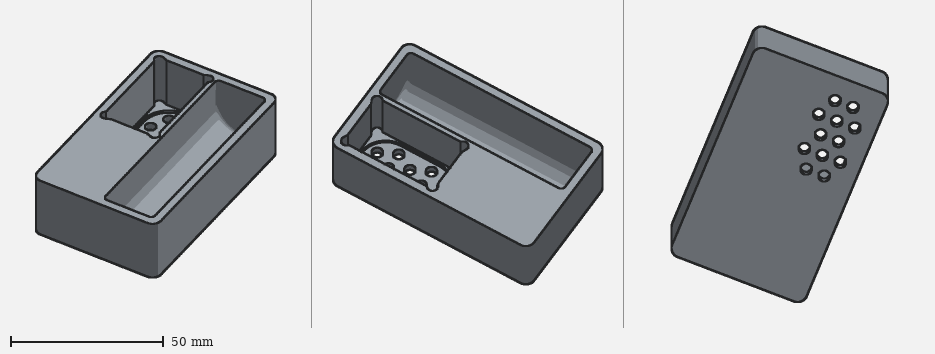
import cadquery as cq
import math

width = 47.5
length = 77.3
height = 23.0
corner_radius = 3.25
wall = 3.0

trough_width = 19.0
trough_radius = trough_width / 2
trough_length = length - 2 * wall
trough_fillet = 1.55
trough_x = width / 2 - wall - trough_radius
trough_axis_z = wall + trough_radius

pocket_width = 20.6
pocket_length = 35.1
pocket_back_wall = 3.3
pocket_floor_z = 4.0
pocket_x = -width / 2 + wall + pocket_width / 2
pocket_y = length / 2 - pocket_back_wall - pocket_length / 2

lobe_radius = 1.8
lobe_inset = 0.9
lobe_blend_angle = math.radians(25)

recess_width = 19.0
recess_length = 33.8
recess_floor_z = 3.0
hole_diameter = 3.8
hole_pitch = 6.35
row_hole_counts = [2, 3, 2, 3, 2]


def make_body():
    body = cq.Workplane("XY").box(width, length, height, centered=(True, True, False))
    return body.edges("|Z").fillet(corner_radius)


def make_trough():
    """U-shaped trough, rounded where its sides meet the two end walls."""
    return (
        cq.Workplane("XZ", origin=(trough_x, trough_length / 2, 0))
        .moveTo(-trough_radius, height)
        .lineTo(-trough_radius, trough_axis_z)
        .threePointArc((0, wall), (trough_radius, trough_axis_z))
        .lineTo(trough_radius, height)
        .close()
        .extrude(trough_length)
        .faces("<Y or >Y")
        .edges("not >Z")
        .fillet(trough_fillet)
    )


def make_lobe(x_side, y_side, depth):
    """Round corner relief with a tangent flat running back to the short wall."""
    lobe_x = pocket_width / 2 - lobe_inset
    lobe_y = pocket_length / 2 - lobe_inset
    tangent_x = lobe_x - lobe_radius * math.sin(lobe_blend_angle)
    tangent_y = lobe_y + lobe_radius * math.cos(lobe_blend_angle)
    flat_rise = tangent_y - pocket_length / 2
    flat_end_x = tangent_x - flat_rise / math.tan(lobe_blend_angle)

    def corner_point(x, y):
        return (x_side * x, y_side * y)

    return (
        cq.Workplane("XY", origin=(pocket_x, pocket_y, pocket_floor_z))
        .moveTo(*corner_point(flat_end_x, pocket_length / 2))
        .lineTo(*corner_point(tangent_x, tangent_y))
        .threePointArc(
            corner_point(lobe_x + lobe_radius * math.sqrt(0.5), lobe_y + lobe_radius * math.sqrt(0.5)),
            corner_point(lobe_x, lobe_y - lobe_radius),
        )
        .lineTo(*corner_point(flat_end_x, lobe_y - lobe_radius))
        .close()
        .extrude(depth)
    )


def make_pocket():
    depth = height - pocket_floor_z
    pocket = (
        cq.Workplane("XY", origin=(pocket_x, pocket_y, pocket_floor_z))
        .rect(pocket_width, pocket_length)
        .extrude(depth)
    )
    for x_side in (-1, 1):
        for y_side in (-1, 1):
            pocket = pocket.union(make_lobe(x_side, y_side, depth))
    return pocket


def make_recess():
    return (
        cq.Workplane("XY", origin=(pocket_x, pocket_y, recess_floor_z))
        .slot2D(recess_length, recess_width, 90)
        .extrude(pocket_floor_z - recess_floor_z)
    )


def make_drain_holes():
    """Staggered rows of holes, each row centred on the pocket."""
    centers = []
    for row, count in enumerate(row_hole_counts):
        y = (row - (len(row_hole_counts) - 1) / 2) * hole_pitch
        for column in range(count):
            x = (column - (count - 1) / 2) * hole_pitch
            centers.append((x, y))
    return (
        cq.Workplane("XY", origin=(pocket_x, pocket_y, 0))
        .pushPoints(centers)
        .circle(hole_diameter / 2)
        .extrude(pocket_floor_z)
    )


result = (
    make_body()
    .cut(make_trough())
    .cut(make_pocket())
    .cut(make_recess())
    .cut(make_drain_holes())
)